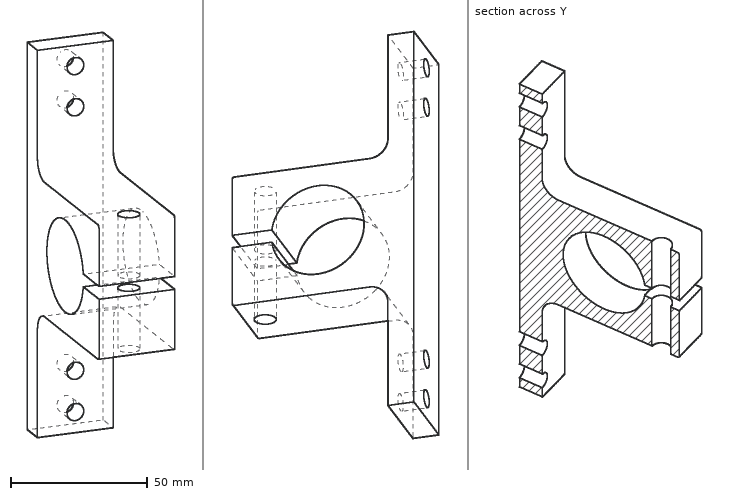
import cadquery as cq

plate_height = 150.0
plate_thickness = 10.0
width = 30.0

total_depth = 70.0
block_height = 52.0
root_fillet = 7.0
tip_fillet = 1.0

bore_diameter = 35.7
bore_x = 37.0
slot_height = 5.0

screw_diameter = 8.1
screw_x = 62.1
mount_diameter = 6.6
outer_mount_spacing = 134.0
inner_mount_spacing = 102.0


def make_body():
    """T-shaped body with rounded plate roots and block tips."""
    plate = cq.Workplane("XY").box(
        plate_thickness, width, plate_height, centered=(False, True, True)
    )
    block = cq.Workplane("XY").box(
        total_depth, width, block_height, centered=(False, True, True)
    )
    half_block = block_height / 2
    body = plate.union(block)
    for side in (-1, 1):
        root = cq.NearestToPointSelector((plate_thickness, 0, side * half_block))
        body = body.edges("|Y").edges(root).fillet(root_fillet)
    return body.edges("|Y and >X").fillet(tip_fillet)


def make_bore_and_slot():
    """Cutter for the shaft bore and the slot opening it to the block tip."""
    bore = cq.Workplane("XZ").center(bore_x, 0).circle(bore_diameter / 2).extrude(width / 2, both=True)
    slot = (
        cq.Workplane("XY")
        .box(total_depth - bore_x, width, slot_height, centered=(False, True, True))
        .translate((bore_x, 0, 0))
    )
    return bore.union(slot)


def make_clamp_screw_hole():
    """Cutter for the clamp screw, crossing both jaws along Z."""
    return (
        cq.Workplane("XY")
        .center(screw_x, 0)
        .circle(screw_diameter / 2)
        .extrude(block_height / 2, both=True)
    )


def make_mounting_holes():
    """Cutter for the two pairs of holes through the plate."""
    centers = [
        (0, side * spacing / 2)
        for spacing in (outer_mount_spacing, inner_mount_spacing)
        for side in (-1, 1)
    ]
    return cq.Workplane("YZ").pushPoints(centers).circle(mount_diameter / 2).extrude(plate_thickness)


result = (
    make_body()
    .cut(make_bore_and_slot())
    .cut(make_clamp_screw_hole())
    .cut(make_mounting_holes())
)